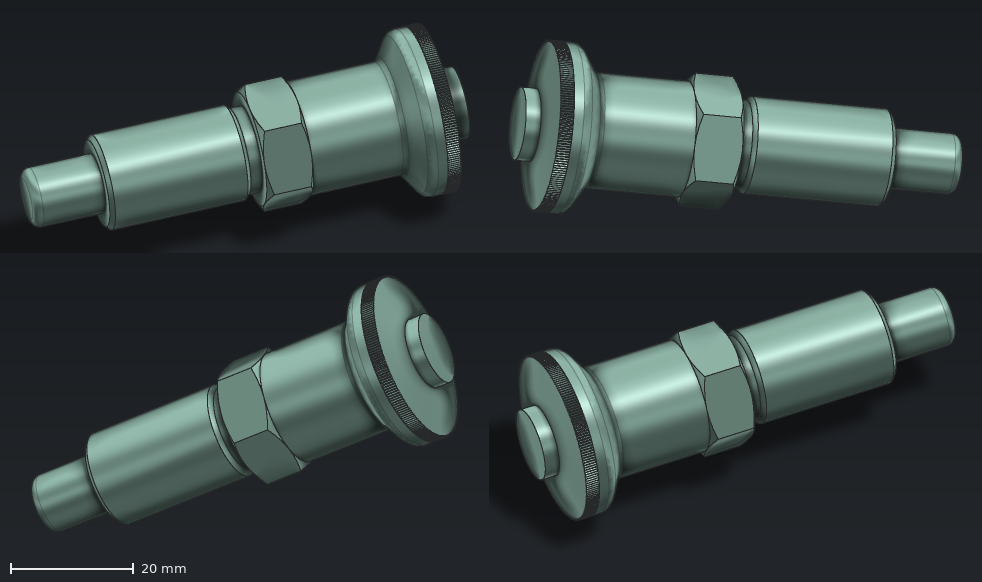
import cadquery as cq
import math

OVERALL_LENGTH = 73.9

PIN_RADIUS = 10.0 / 2
PIN_TIP_FILLET = 1.5

SHANK_START = 12.0
SHANK_RADIUS = 8.0
NECK_RADIUS = 7.25
NECK_START = 36.0
SHANK_CHAMFER = SHANK_RADIUS - NECK_RADIUS

HEX_START = 38.0
HEX_END = 46.0
HEX_ACROSS_FLATS = 19.0
HEX_ACROSS_CORNERS = HEX_ACROSS_FLATS / math.cos(math.radians(30))
HEX_CHAMFER_ANGLE = 30.0

BUTTON_RADIUS = 6.0
BUTTON_CROWN = 0.3

SLEEVE_RADIUS = HEX_ACROSS_FLATS / 2
KNOB_RADIUS = 28.0 / 2
CONE_START = 61.8
CONE_END = 64.8
SLEEVE_FILLET = 1.0
RIM_FILLET = 1.85
RIM_END = 69.7
KNOB_END = 71.1

KNURL_START = 67.5
TOOTH_COUNT = 204
TOOTH_DEPTH = 0.2


def revolved(profile):
    """Turn an open (radius, y) profile into a solid about the Y axis."""
    return profile.close().revolve(360, (0, 0, 0), (0, 1, 0))


def plane_at(y):
    """Workplane across the axis at the given y, with extrusions running toward +Y."""
    return cq.Workplane("XZ", origin=(0, y, 0)).transformed(rotate=(180, 0, 0))


def fillet_circle(body, circle_radius, y, fillet_radius):
    """Round the circular edge of the given radius at the given y."""
    reach = 0.01
    outer = circle_radius + reach
    box = cq.selectors.BoxSelector(
        (-outer, y - reach, -outer), (outer, y + reach, outer), boundingbox=True
    )
    return body.edges(box).fillet(fillet_radius)


def make_pin():
    """Round pin with a rounded tip."""
    pin = plane_at(0).circle(PIN_RADIUS).extrude(SHANK_START)
    return fillet_circle(pin, PIN_RADIUS, 0, PIN_TIP_FILLET)


def make_shank():
    """Shank chamfered at both ends, followed by the relief neck."""
    return revolved(
        cq.Workplane("XY")
        .moveTo(0, SHANK_START)
        .lineTo(SHANK_RADIUS - SHANK_CHAMFER, SHANK_START)
        .lineTo(SHANK_RADIUS, SHANK_START + SHANK_CHAMFER)
        .lineTo(SHANK_RADIUS, NECK_START - SHANK_CHAMFER)
        .lineTo(NECK_RADIUS, NECK_START)
        .lineTo(NECK_RADIUS, HEX_START)
        .lineTo(0, HEX_START)
    )


def make_hexagon():
    """Hexagon with flats facing +Z and -Z and its corners turned off at both ends."""
    hexagon = plane_at(HEX_START).polygon(6, HEX_ACROSS_CORNERS).extrude(HEX_END - HEX_START)
    face_radius = HEX_ACROSS_FLATS / 2
    corner_radius = HEX_ACROSS_CORNERS / 2
    rise = (corner_radius - face_radius) * math.tan(math.radians(HEX_CHAMFER_ANGLE))
    turned_envelope = revolved(
        cq.Workplane("XY")
        .moveTo(0, HEX_START)
        .lineTo(face_radius, HEX_START)
        .lineTo(corner_radius, HEX_START + rise)
        .lineTo(corner_radius, HEX_END - rise)
        .lineTo(face_radius, HEX_END)
        .lineTo(0, HEX_END)
    )
    return hexagon.intersect(turned_envelope)


def make_button_stem():
    """Stem through the knob that ends in the crowned push button."""
    button_edge = OVERALL_LENGTH - BUTTON_CROWN
    crown_radius = (BUTTON_RADIUS**2 + BUTTON_CROWN**2) / (2 * BUTTON_CROWN)
    half_way = BUTTON_RADIUS / 2
    half_way_drop = crown_radius - math.sqrt(crown_radius**2 - half_way**2)
    return revolved(
        cq.Workplane("XY")
        .moveTo(0, HEX_END)
        .lineTo(BUTTON_RADIUS, HEX_END)
        .lineTo(BUTTON_RADIUS, button_edge)
        .threePointArc((half_way, OVERALL_LENGTH - half_way_drop), (0, OVERALL_LENGTH))
    )


def make_plunger_body():
    """Pin, shank, hexagon and button stem in one piece."""
    return make_pin().union(make_shank()).union(make_hexagon()).union(make_button_stem())


def make_knurl_gaps():
    """Ring of V-shaped gaps that leaves straight teeth on the knob rim."""
    half_pitch = math.pi / TOOTH_COUNT
    tooth_outline = []
    for i in range(2 * TOOTH_COUNT):
        radius = KNOB_RADIUS - TOOTH_DEPTH * (i % 2)
        angle = i * half_pitch
        tooth_outline.append((radius * math.cos(angle), radius * math.sin(angle)))
    band_length = KNOB_END - KNURL_START
    ring = plane_at(KNURL_START).circle(KNOB_RADIUS + TOOTH_DEPTH).extrude(band_length)
    teeth = plane_at(KNURL_START).polyline(tooth_outline).close().extrude(band_length)
    return ring.cut(teeth)


def make_knob():
    """Knurled knob with its sleeve, bored through for the button stem."""
    knob = revolved(
        cq.Workplane("XY")
        .moveTo(BUTTON_RADIUS, HEX_END)
        .lineTo(SLEEVE_RADIUS, HEX_END)
        .lineTo(SLEEVE_RADIUS, CONE_START)
        .lineTo(KNOB_RADIUS, CONE_END)
        .lineTo(KNOB_RADIUS, RIM_END)
        .lineTo(BUTTON_RADIUS, KNOB_END)
    )
    knob = fillet_circle(knob, SLEEVE_RADIUS, CONE_START, SLEEVE_FILLET)
    knob = fillet_circle(knob, KNOB_RADIUS, CONE_END, RIM_FILLET)
    return knob.cut(make_knurl_gaps())


plunger_body = make_plunger_body().solids()
knob = make_knob().solids()

result = cq.Compound.makeCompound([plunger_body.val(), knob.val()])